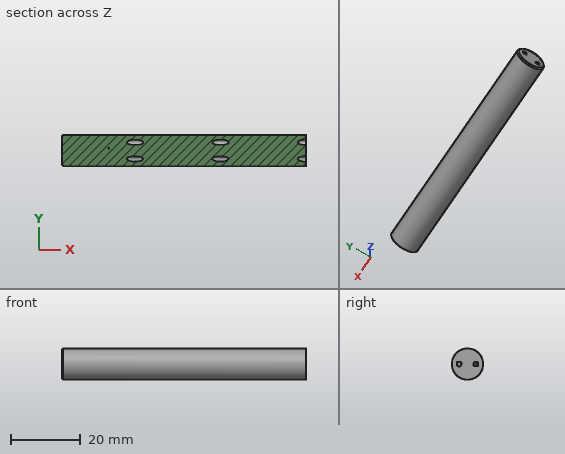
import cadquery as cq

LENGTH = 70.0
DIAMETER = 9.0
CHAMFER = 0.4

CHANNEL_DIAMETER = 1.4
CHANNEL_SPACING = 4.8
CHANNEL_START_ANGLE = 26.0
HELIX_PITCH = 49.0


def rod_body():
    """Cylinder starting at X = 0, chamfered on its -X end only."""
    rod = cq.Workplane("YZ").circle(DIAMETER / 2).extrude(LENGTH)
    return rod.faces("<X").chamfer(CHAMFER)


def helical_channel(start_angle):
    """Round channel twisting about the rod axis over the whole length."""
    twist = 360.0 * LENGTH / HELIX_PITCH
    return (
        cq.Workplane("YZ")
        .polarArray(CHANNEL_SPACING / 2, start_angle, 360, 1)
        .circle(CHANNEL_DIAMETER / 2)
        .twistExtrude(LENGTH, twist)
    )


result = rod_body()
for half_turn in (0.0, 180.0):
    result = result.cut(helical_channel(CHANNEL_START_ANGLE + half_turn))